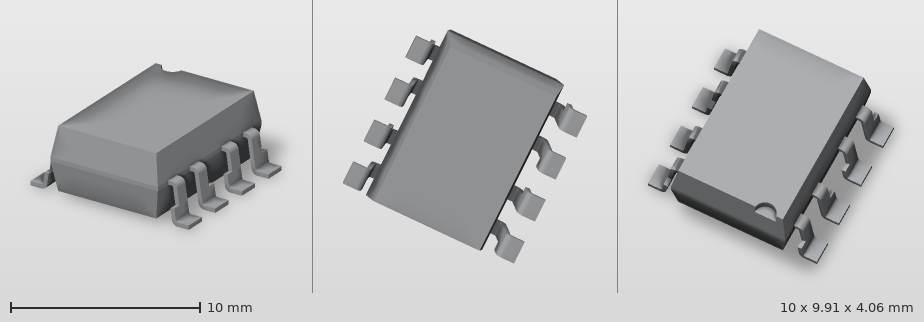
import cadquery as cq
import math

STANDOFF = 0.25
BODY_WIDTH = 6.8
BODY_LENGTH = 9.91
BODY_HEIGHT = 3.81
BODY_DRAFT = 9.4
BODY_MID_Z = STANDOFF + BODY_HEIGHT / 2
BODY_TOP_Z = STANDOFF + BODY_HEIGHT

NOTCH_RADIUS = 0.62
NOTCH_X = -2.1
NOTCH_Y = 4.76
NOTCH_DEPTH = 0.5

LEAD_SPAN = 10.03
LEAD_THICKNESS = 0.25
LEAD_WIDTH = 1.27
NECK_WIDTH = 0.79
SHOULDER_Z = 1.0
LEG_TILT = 8.5
BEND_INNER = 0.1
BEND_OUTER = BEND_INNER + LEAD_THICKNESS
UPPER_BEND_X = 3.61
LEAD_PITCH = 2.54
LEADS_PER_SIDE = 4


def make_body():
    """Belt plus two drafted halves, with the pin 1 notch cut from the top."""
    belt = cq.Workplane("XY").box(BODY_WIDTH, BODY_LENGTH, LEAD_THICKNESS).translate((0, 0, BODY_MID_Z))
    half_height = (BODY_HEIGHT - LEAD_THICKNESS) / 2
    upper = belt.faces(">Z").workplane().rect(BODY_WIDTH, BODY_LENGTH).extrude(
        half_height, combine=False, taper=BODY_DRAFT
    )
    lower = upper.mirror("XY", (0, 0, BODY_MID_Z))
    notch = (
        cq.Workplane("XY", origin=(NOTCH_X, NOTCH_Y, BODY_TOP_Z))
        .circle(NOTCH_RADIUS)
        .extrude(-NOTCH_DEPTH)
    )
    return belt.union(upper).union(lower).cut(notch)


def on_circle(centre, radius, degrees):
    """Point on a circle in the XZ plane, at an angle counted from +X toward +Z."""
    angle = math.radians(degrees)
    return (centre[0] + radius * math.cos(angle), centre[1] + radius * math.sin(angle))


def make_lead(shoulder_side):
    """Lead on the -X side, centred on Y = 0, its shoulder on the given side (+1 or -1) of Y."""
    tilt = math.radians(LEG_TILT)
    belt_x = -BODY_WIDTH / 2
    tip_x = -LEAD_SPAN / 2
    top_z = BODY_MID_Z + LEAD_THICKNESS / 2
    bottom_z = top_z - LEAD_THICKNESS

    rise = top_z - BEND_OUTER - (LEAD_THICKNESS + BEND_INNER)
    run = (BEND_OUTER + BEND_INNER + rise * math.sin(tilt)) / math.cos(tilt)
    upper = (-UPPER_BEND_X, top_z - BEND_OUTER)
    lower = (upper[0] - run, upper[1] - rise)

    upper_start = 90
    upper_end = 180 - LEG_TILT
    upper_mid = (upper_start + upper_end) / 2
    lower_start = -90
    lower_end = -LEG_TILT
    lower_mid = (lower_start + lower_end) / 2

    strip = (
        cq.Workplane("XZ", origin=(0, LEAD_WIDTH / 2, 0))
        .moveTo(belt_x, top_z)
        .lineTo(*on_circle(upper, BEND_OUTER, upper_start))
        .threePointArc(on_circle(upper, BEND_OUTER, upper_mid), on_circle(upper, BEND_OUTER, upper_end))
        .lineTo(*on_circle(lower, BEND_INNER, lower_end))
        .threePointArc(on_circle(lower, BEND_INNER, lower_mid), on_circle(lower, BEND_INNER, lower_start))
        .lineTo(tip_x, LEAD_THICKNESS)
        .lineTo(tip_x, 0)
        .lineTo(*on_circle(lower, BEND_OUTER, lower_start))
        .threePointArc(on_circle(lower, BEND_OUTER, lower_mid), on_circle(lower, BEND_OUTER, lower_end))
        .lineTo(*on_circle(upper, BEND_INNER, upper_end))
        .threePointArc(on_circle(upper, BEND_INNER, upper_mid), on_circle(upper, BEND_INNER, upper_start))
        .lineTo(belt_x, bottom_z)
        .close()
        .extrude(LEAD_WIDTH)
    )

    face_x, face_z = on_circle(lower, BEND_INNER, lower_end)
    shoulder_x = face_x + (SHOULDER_Z - face_z) * math.tan(tilt)
    relief_size = BODY_HEIGHT
    relief = (
        cq.Workplane("XY")
        .box(relief_size, LEAD_WIDTH, relief_size, centered=(True, True, False))
        .rotate((0, 0, 0), (0, 1, 0), LEG_TILT)
        .translate((shoulder_x, shoulder_side * NECK_WIDTH, SHOULDER_Z))
    )
    return strip.cut(relief)


def make_leads():
    """Both rows of leads, with the shoulder side alternating along each row."""
    leads = []
    for index in range(LEADS_PER_SIDE):
        y = ((LEADS_PER_SIDE - 1) / 2 - index) * LEAD_PITCH
        shoulder_side = 1 if index % 2 == 0 else -1
        lead = make_lead(shoulder_side).translate((0, y, 0))
        leads.append(lead.solids().val())
        leads.append(lead.mirror("YZ").solids().val())
    return leads


body = make_body()
leads = make_leads()
result = cq.Compound.makeCompound([body.solids().val(), *leads])